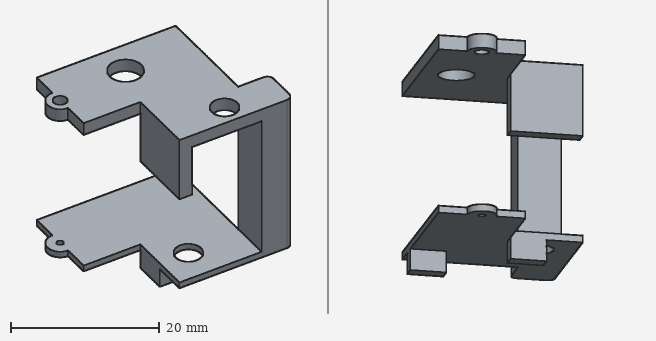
import cadquery as cq

LENGTH = 29
WIDTH = 22.0
HEIGHT = 28.0
BASE_BOTTOM = 3.0
BASE_THICKNESS = 1.0
TOP_THICKNESS = 2.0
WALL_BOTTOM = 18.0

PLATE_DEPTH = WIDTH
NOTCH_X = 12.0
NOTCH_Y = 9.0
EAR_X = 6.0
EAR_RADIUS = 2.0
EAR_TOP_HOLE = 2.0
EAR_BASE_HOLE = 1.0

POST_X = 16.0
POST_BACK = LENGTH - EAR_RADIUS
POST_CORNER_RADIUS = 1.0

RIB_THICKNESS = 2.0
FOOT_LENGTH = 5.0
REAR_FOOT_Y = 17.0

TOP_HOLES = [(19.0, 18.0, 4.0), (5.0, 11.0, 5.0)]
BASE_HOLES = [(17.0, 13.5, 4.0)]


def block(x_range, y_range, z_range):
    """Box spanning the given coordinate ranges."""
    size = [high - low for low, high in (x_range, y_range, z_range)]
    corner = (x_range[0], y_range[0], z_range[0])
    return cq.Workplane("XY").box(*size, centered=False).translate(corner)


def plate(bottom, thickness, ear_hole, holes):
    """Notched plate with a rounded screw ear and through holes."""
    level = cq.Workplane("XY").workplane(offset=bottom)
    outline = [
        (0, 0),
        (NOTCH_X, 0),
        (NOTCH_X, NOTCH_Y),
        (WIDTH, NOTCH_Y),
        (WIDTH, PLATE_DEPTH),
        (0, PLATE_DEPTH),
    ]
    body = level.polyline(outline).close().extrude(thickness)
    body = body.union(level.center(EAR_X, 0).circle(EAR_RADIUS).extrude(thickness))
    for x, y, diameter in [(EAR_X, 0, ear_hole)] + holes:
        body = body.cut(level.center(x, y).circle(diameter / 2).extrude(thickness))
    return body


top_plate = plate(HEIGHT - TOP_THICKNESS, TOP_THICKNESS, EAR_TOP_HOLE, TOP_HOLES)
base_plate = plate(BASE_BOTTOM, BASE_THICKNESS, EAR_BASE_HOLE, BASE_HOLES)

post = block((POST_X, WIDTH), (PLATE_DEPTH, POST_BACK), (BASE_BOTTOM, HEIGHT))
post = post.edges("|Z and >Y").fillet(POST_CORNER_RADIUS)

wall = block(
    (NOTCH_X, WIDTH),
    (NOTCH_Y, NOTCH_Y + RIB_THICKNESS),
    (WALL_BOTTOM, HEIGHT),
)

result = top_plate.union(base_plate).union(post).union(wall)

for foot_x, foot_y in [(0, REAR_FOOT_Y), (NOTCH_X, NOTCH_Y)]:
    foot = block(
        (foot_x, foot_x + FOOT_LENGTH),
        (foot_y, foot_y + RIB_THICKNESS),
        (0, BASE_BOTTOM),
    )
    result = result.union(foot)